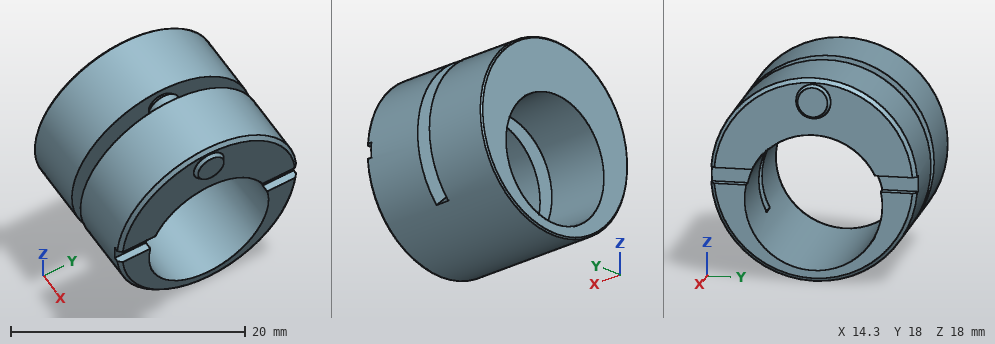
import cadquery as cq
import math

outer_diameter = 18.0
outer_radius = outer_diameter / 2
collar_length = 13.91
bore_radius = 6.0
bore_drop = 1.98
plain_end_chamfer = 0.15
notched_end_chamfer = 0.35

slot_start = 6.21
slot_width = 1.4
web_half_angle = 48.0

notch_width = 1.4
notch_depth = 0.74

screw_radius = 1.51
screw_height = 7.0
screw_end = 14.27
screw_length = screw_end - slot_start
screw_chamfer_length = 0.35
screw_chamfer_depth = 0.22


def cylinder_along_x(radius, start, length, height):
    """Cylinder parallel to X, with its axis at the given Z height."""
    return cq.Workplane("YZ", origin=(start, 0, height)).circle(radius).extrude(length)


def make_slot():
    """Slot cutter covering everything except the sector of the bottom web."""
    reach = outer_diameter
    edge_y = reach * math.sin(math.radians(web_half_angle))
    edge_z = -reach * math.cos(math.radians(web_half_angle))
    return (
        cq.Workplane("YZ", origin=(slot_start, 0, 0))
        .moveTo(0, 0)
        .lineTo(edge_y, edge_z)
        .threePointArc((0, reach), (-edge_y, edge_z))
        .close()
        .extrude(slot_width)
    )


def make_notch():
    """Straight notch running the full width of the end face."""
    return cq.Workplane("XY").box(2 * notch_depth, outer_diameter, notch_width).translate(
        (collar_length, 0, 0)
    )


def make_collar():
    """Split collar with bore, clamping slot, end notch and screw hole."""
    collar = cylinder_along_x(outer_radius, 0, collar_length, 0)
    collar = collar.faces("<X").chamfer(plain_end_chamfer)
    collar = collar.faces(">X").chamfer(notched_end_chamfer)
    bore = cylinder_along_x(bore_radius, 0, collar_length, -bore_drop)
    screw_hole = cylinder_along_x(screw_radius, slot_start, screw_length, screw_height)
    return collar.cut(bore).cut(make_slot()).cut(make_notch()).cut(screw_hole)


def make_screw():
    """Plain headless screw, chamfered at both ends."""
    tip_radius = screw_radius - screw_chamfer_depth
    profile = [
        (slot_start, 0),
        (slot_start, tip_radius),
        (slot_start + screw_chamfer_length, screw_radius),
        (screw_end - screw_chamfer_length, screw_radius),
        (screw_end, tip_radius),
        (screw_end, 0),
    ]
    return (
        cq.Workplane("XZ", origin=(0, 0, screw_height))
        .polyline(profile)
        .close()
        .revolve(360, (0, 0), (1, 0))
    )


collar = make_collar()
screw = make_screw()

result = cq.Compound.makeCompound([collar.val(), screw.val()])